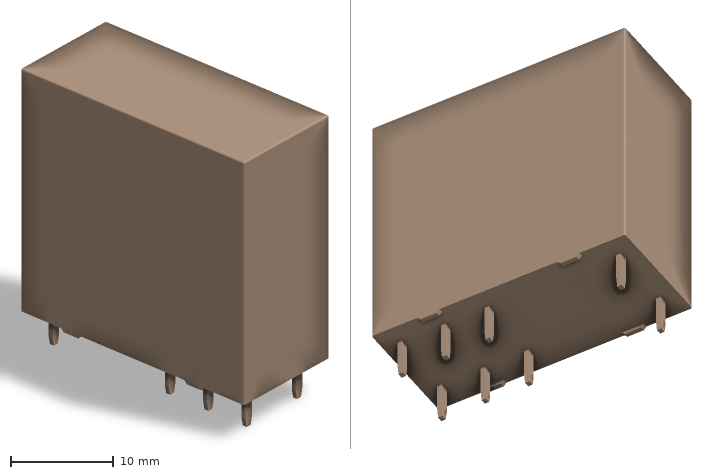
import cadquery as cq

case_length = 29.0
case_width = 12.7
overall_height = 31.15
pin_length = 4.0
case_height = overall_height - pin_length
edge_radius = 0.2

pin_thickness = 0.5
pin_width = 1.0
pin_tip_width = 0.6
pin_taper_length = 1.0
pin_root = 0.5
row_spacing = 7.5
coil_pin_x = -12.45
first_contact_x = 2.63
contact_pitch = 4.97
contact_count = 3
pin_columns = [coil_pin_x] + [first_contact_x + i * contact_pitch for i in range(contact_count)]

foot_spacing = 16.0
foot_top_length = 2.5
foot_bottom_length = 1.9
foot_height = 0.35
foot_depth = 0.5


def make_case():
    block = cq.Workplane("XY").box(case_length, case_width, case_height, centered=(True, True, False))
    return block.edges("|Z or >Z").fillet(edge_radius)


def make_pin(x, y):
    """Flat pin whose width along Y narrows over the taper length to the tip."""
    shoulder_z = pin_taper_length - pin_length
    outline = [
        (-pin_width / 2, pin_root),
        (-pin_width / 2, shoulder_z),
        (-pin_tip_width / 2, -pin_length),
        (pin_tip_width / 2, -pin_length),
        (pin_width / 2, shoulder_z),
        (pin_width / 2, pin_root),
    ]
    blade = cq.Workplane("YZ").polyline(outline).close().extrude(pin_thickness / 2, both=True)
    return blade.translate((x, y, 0))


def make_foot(x, side):
    """Tapered foot flush with the long side given by the sign of side."""
    outline = [
        (-foot_top_length / 2, 0),
        (-foot_bottom_length / 2, -foot_height),
        (foot_bottom_length / 2, -foot_height),
        (foot_top_length / 2, 0),
    ]
    foot = cq.Workplane("XZ").polyline(outline).close().extrude(foot_depth / 2, both=True)
    return foot.translate((x, side * (case_width - foot_depth) / 2, 0))


result = make_case()
for side in (-1, 1):
    for column_x in pin_columns:
        result = result.union(make_pin(column_x, side * row_spacing / 2))
    for foot_x in (-foot_spacing / 2, foot_spacing / 2):
        result = result.union(make_foot(foot_x, side))